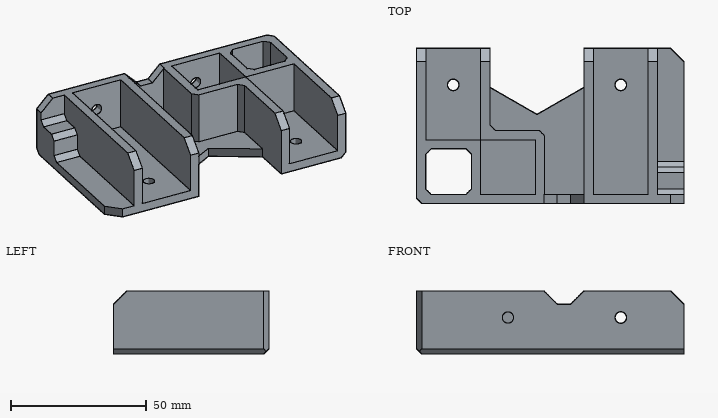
import cadquery as cq

length = 99.0
depth = 57.5
height = 23.5

wall = 3.5
floor = 3.5
small_chamfer = 2.0
large_chamfer = 4.95

bay_width = 20.3
tray_size = 20.2
inner_rib_x = wall + bay_width
tray_wall_x = inner_rib_x + tray_size
tray_back_y = wall + tray_size
tube_size = bay_width - wall
middle_start_x = tray_wall_x + wall
middle_back_y = tray_back_y + wall

right_rib_x = 62.0
right_bay_x = right_rib_x + wall
outer_rib_x = right_bay_x + bay_width
shelf_x = outer_rib_x + wall
block_depth = 10.1
block_height = 10.1

v_edge_y = 43.1
v_apex_y = 33.1
v_apex_x = (inner_rib_x + wall + right_rib_x) / 2

notch_bottom_width = 4.95
notch_top_width = notch_bottom_width + 2 * large_chamfer
notch_right_x = right_rib_x

hole_diameter = 4.2
front_hole_z = 13.6
floor_hole_y = 44.0
left_bay_center_x = wall + bay_width / 2
right_bay_center_x = right_bay_x + bay_width / 2
tray_center_x = inner_rib_x + tray_size / 2


def box(x0, x1, y0, y1, z0=floor, z1=height):
    """Box between opposite corner coordinates."""
    return cq.Workplane("XY").box(x1 - x0, y1 - y0, z1 - z0, centered=False).translate((x0, y0, z0))


def prism_x(points, x0, x1):
    """YZ outline extruded from x0 to x1."""
    return cq.Workplane("YZ").workplane(offset=x0).polyline(points).close().extrude(x1 - x0)


def prism_y(points, y0, y1):
    """XZ outline extruded from y0 to y1."""
    return cq.Workplane("XZ").workplane(offset=-y0).polyline(points).close().extrude(y0 - y1)


def prism_z(points, z0, z1):
    """XY outline extruded from z0 to z1."""
    return cq.Workplane("XY").workplane(offset=z0).polyline(points).close().extrude(z1 - z0)


def make_body():
    """Plan outline with the V opening, the back right corner cut and the front left corner cut."""
    outline = [
        (small_chamfer, 0),
        (length, 0),
        (length, depth - large_chamfer),
        (length - large_chamfer, depth),
        (right_rib_x, depth),
        (right_rib_x, v_edge_y),
        (v_apex_x, v_apex_y),
        (inner_rib_x + wall, v_edge_y),
        (inner_rib_x + wall, depth),
        (0, depth),
        (0, small_chamfer),
    ]
    return prism_z(outline, 0, height)


def middle_pocket():
    """Open area between the inner ribs, stepped around the front tray."""
    rib_face_x = inner_rib_x + wall
    outline = [
        (middle_start_x, wall),
        (right_rib_x, wall),
        (right_rib_x, depth),
        (rib_face_x, depth),
        (rib_face_x, middle_back_y + small_chamfer),
        (rib_face_x + small_chamfer, middle_back_y),
        (middle_start_x - small_chamfer, middle_back_y),
        (middle_start_x, middle_back_y - small_chamfer),
    ]
    return prism_z(outline, floor, height)


def square_tube():
    """Through opening with chamfered vertical corners."""
    opening = box(wall, wall + tube_size, wall, wall + tube_size, 0)
    return opening.edges("|Z").chamfer(small_chamfer)


def side_shelf():
    """Space above the stepped block and floor at the right side."""
    step_y = wall + block_depth
    step_z = floor + block_height
    outline = [
        (wall, height),
        (wall, step_z + small_chamfer),
        (wall + small_chamfer, step_z),
        (step_y - small_chamfer, step_z),
        (step_y, step_z - small_chamfer),
        (step_y, floor + small_chamfer),
        (step_y + small_chamfer, floor),
        (depth, floor),
        (depth, height),
    ]
    return prism_x(outline, shelf_x, length)


def front_notch():
    """Tapered notch through the front wall."""
    left_x = notch_right_x - notch_top_width
    outline = [
        (left_x, height),
        (left_x + large_chamfer, height - large_chamfer),
        (notch_right_x - large_chamfer, height - large_chamfer),
        (notch_right_x, height),
    ]
    return prism_y(outline, 0, wall)


def edge_cuts():
    """Wedges for the top back, top right, bottom front and bottom left edges."""
    top_back = [(depth, height), (depth - large_chamfer, height), (depth, height - large_chamfer)]
    top_right = [(length, height), (length - large_chamfer, height), (length, height - large_chamfer)]
    bottom_corner = [(0, 0), (small_chamfer, 0), (0, small_chamfer)]
    return [
        prism_x(top_back, 0, length),
        prism_y(top_right, 0, wall),
        prism_x(bottom_corner, 0, length),
        prism_y(bottom_corner, 0, depth),
    ]


def floor_hole(x):
    """Vertical hole through the floor of a bay."""
    return cq.Workplane("XY").center(x, floor_hole_y).circle(hole_diameter / 2).extrude(floor)


def front_hole(x):
    """Horizontal hole through the front wall."""
    return cq.Workplane("XZ").center(x, front_hole_z).circle(hole_diameter / 2).extrude(-wall)


pockets = [
    box(wall, inner_rib_x, tray_back_y, depth),
    box(inner_rib_x, tray_wall_x, wall, tray_back_y),
    box(right_bay_x, outer_rib_x, wall, depth),
    middle_pocket(),
    square_tube(),
    side_shelf(),
    front_notch(),
]
holes = [
    floor_hole(left_bay_center_x),
    floor_hole(right_bay_center_x),
    front_hole(tray_center_x),
    front_hole(right_bay_center_x),
]

result = make_body()
for cutter in pockets + holes + edge_cuts():
    result = result.cut(cutter)